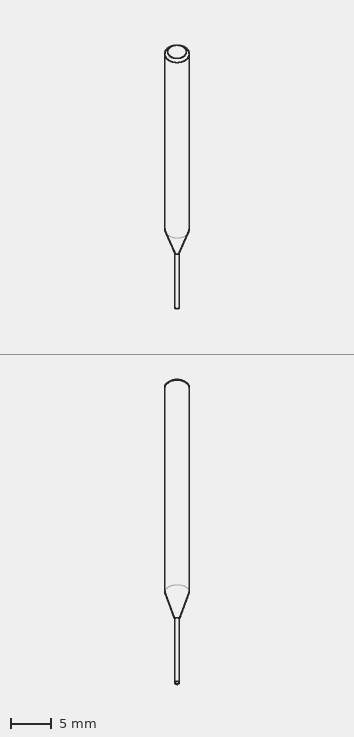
import cadquery as cq

total_length = 45.0
shank_diameter = 3.0
cutter_diameter = 0.6

tip_height = 0.25
cutter_length = 9.85
taper_length = 4.1
shank_chamfer = 0.35

shank_radius = shank_diameter / 2
cutter_radius = cutter_diameter / 2
taper_top = cutter_length + taper_length


def make_shank():
    """Cylindrical shank, chamfered at the top and tapering to the cutter below."""
    profile = (
        cq.Workplane("YZ")
        .moveTo(0, cutter_length)
        .lineTo(-cutter_radius, cutter_length)
        .lineTo(-shank_radius, taper_top)
        .lineTo(-shank_radius, total_length - shank_chamfer)
        .lineTo(-shank_radius + shank_chamfer, total_length)
        .lineTo(0, total_length)
        .close()
    )
    return profile.revolve(360, (0, 0), (0, 1))


def make_cutter():
    """Thin round cutter with a conical tip, butted against the end of the taper."""
    profile = (
        cq.Workplane("XZ")
        .moveTo(0, 0)
        .lineTo(-cutter_radius, tip_height)
        .lineTo(-cutter_radius, cutter_length)
        .lineTo(0, cutter_length)
        .close()
    )
    return profile.revolve(360, (0, 0), (0, 1))


shank = make_shank()
cutter = make_cutter()

result = cq.Compound.makeCompound([shank.val(), cutter.val()])